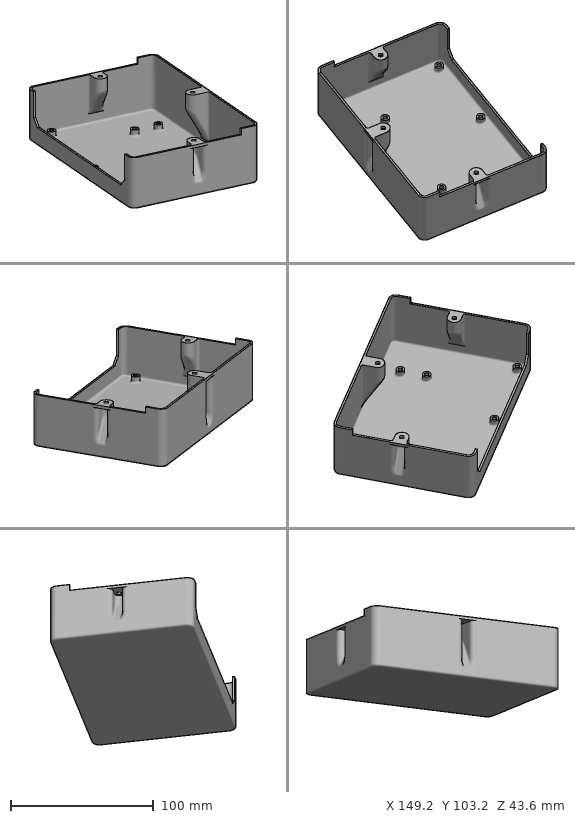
import cadquery as cq
import math

length = 149.2
width = 103.2
rear_height = 43.6
wall = 1.6
corner_radius = 5.4
bottom_fillet = 1.6
floor_fillet = 1.6
tolerance = 0.01

rim_drop = 4.7
rim_height = rear_height - rim_drop
rear_return = 14.7

opening_width = 130.2
opening_sill = 13.6
opening_chamfer = 5.7

boss_radius = 5.0
boss_fillet = 2 * wall
recess_radius = boss_radius - wall
recess_fillet = boss_fillet - wall
junction_fillet = wall
slope_angle = math.radians(60)
slope_shift = wall / math.cos(slope_angle)
slope_face = cq.selectors.ParallelDirSelector(
    cq.Vector(math.sin(slope_angle), 0, -math.cos(slope_angle))
)
boss_top_thickness = 2.2
screw_hole_diameter = 3.2
side_boss_depth = 7.7
side_boss_y = 3.05
side_boss_base = 6.4
rear_boss_depth = 11.8
rear_boss_base = 2.2

post_diameter = 6.0
post_hole_diameter = 2.85
post_mouth_diameter = 3.2
post_height = 5.0
post_fillet = 1.6
rear_post_x = 39.5
rear_post_rows = (34.5, 15.3)
front_post_y = -43.4
post_positions = [
    *[(side * rear_post_x, row) for row in rear_post_rows for side in (-1, 1)],
    (-65.4, -36.8),
    (6.9, front_post_y),
    (65.2, front_post_y),
]


def rounded_block(size_x, size_y, radius, bottom, top):
    block = cq.Workplane("XY", origin=(0, 0, bottom)).rect(size_x, size_y).extrude(top - bottom)
    return block.edges("|Z").fillet(radius)


def make_tray():
    outer = rounded_block(length, width, corner_radius, 0, rear_height)
    outer = outer.faces("<Z").edges().fillet(bottom_fillet)
    cavity = rounded_block(
        length - 2 * wall, width - 2 * wall, corner_radius - wall, wall, rear_height
    )
    cavity = cavity.faces("<Z").edges().fillet(floor_fillet)
    return outer.cut(cavity)


def rim_cut():
    """Material removed above the side and front rim."""
    cut_depth = width - rear_return
    block = cq.Workplane("XY").box(length, cut_depth, rim_drop, centered=(True, False, False))
    return block.translate((0, -width / 2, rim_height))


def front_opening():
    half = opening_width / 2
    profile = [
        (-half, rear_height),
        (-half, opening_sill + opening_chamfer),
        (-half + opening_chamfer, opening_sill),
        (half - opening_chamfer, opening_sill),
        (half, opening_sill + opening_chamfer),
        (half, rear_height),
    ]
    plane = cq.Workplane("XZ", origin=(0, -width / 2 + wall, 0))
    return plane.polyline(profile).close().extrude(wall)


def under_slope(half_width, start, tip, slope_base):
    """Wedge below the slope that rises from the outer wall face (x = 0) toward the boss tip."""
    rise = math.tan(slope_angle)
    return (
        cq.Workplane("XZ", origin=(0, half_width, 0))
        .moveTo(start, slope_base + start * rise)
        .lineTo(tip, slope_base + tip * rise)
        .lineTo(tip, 0)
        .lineTo(start, 0)
        .close()
        .extrude(2 * half_width)
    )


def boss_body(axis_depth, slope_base, top):
    """Round-nosed boss that flares into the wall's inner face, with a rounded sloped underside."""
    start = wall / 2
    tip = axis_depth + boss_radius
    root = boss_radius + junction_fillet
    arc_offset = junction_fillet * (1 - math.sqrt(0.5))
    flare_end = wall + junction_fillet
    flare_mid = (wall + arc_offset, boss_radius + arc_offset)
    body = (
        cq.Workplane("XY")
        .moveTo(start, -root)
        .lineTo(wall, -root)
        .threePointArc((flare_mid[0], -flare_mid[1]), (flare_end, -boss_radius))
        .lineTo(axis_depth, -boss_radius)
        .threePointArc((tip, 0), (axis_depth, boss_radius))
        .lineTo(flare_end, boss_radius)
        .threePointArc(flare_mid, (wall, root))
        .lineTo(start, root)
        .close()
        .extrude(top)
    )
    body = body.cut(under_slope(root, start, tip, slope_base))
    inside_wall = cq.selectors.BoxSelector(
        (0, -root - tolerance, 0), (wall + tolerance, root + tolerance, top), boundingbox=True
    )
    slope_edges = body.faces(slope_face).edges("not |Y")
    return slope_edges.edges(cq.selectors.InverseSelector(inside_wall)).fillet(boss_fillet)


def recess_body(axis_depth, slope_base, top):
    """Hollow of the boss, one wall thickness inside it and open at the outer wall face."""
    start = -wall
    tip = axis_depth + recess_radius
    body = (
        cq.Workplane("XY")
        .moveTo(start, -recess_radius)
        .lineTo(axis_depth, -recess_radius)
        .threePointArc((tip, 0), (axis_depth, recess_radius))
        .lineTo(start, recess_radius)
        .close()
        .extrude(top)
    )
    body = body.cut(under_slope(recess_radius, start, tip, slope_base))
    return body.faces(slope_face).edges("not |Y").fillet(recess_fillet)


def edges_on_wall_face(depth, half_width, top, bottom=0):
    """Selector for the edges that lie in the plane x = depth, between two heights."""
    return cq.selectors.BoxSelector(
        (depth - tolerance, -half_width - tolerance, bottom),
        (depth + tolerance, half_width + tolerance, top),
        boundingbox=True,
    )


def add_boss(tray, wall_point, turn, axis_depth, slope_base, top):
    """Add a hollow screw boss to the wall at wall_point.

    The tray is moved so that this wall's outer face is at x = 0 with +X inward, and moved
    back at the end. The turn about Z points the boss's inward direction along +X.
    """
    x, y = wall_point
    local = tray.translate((-x, -y, 0)).rotate((0, 0, 0), (0, 0, 1), turn)

    local = local.union(boss_body(axis_depth, slope_base, top))

    ceiling = top - boss_top_thickness
    recess_base = slope_base + slope_shift
    local = local.cut(recess_body(axis_depth, recess_base, ceiling))

    mouth = edges_on_wall_face(0, recess_radius, ceiling + tolerance)
    ceiling_edge = edges_on_wall_face(0, recess_radius, ceiling + tolerance, ceiling - tolerance)
    local = local.edges(mouth - ceiling_edge).fillet(boss_fillet)

    screw_hole = (
        cq.Workplane("XY", origin=(axis_depth, 0, ceiling))
        .circle(screw_hole_diameter / 2)
        .extrude(boss_top_thickness)
    )
    local = local.cut(screw_hole)
    return local.rotate((0, 0, 0), (0, 0, 1), -turn).translate((x, y, 0))


def post_drill():
    """Blind hole from the floor's surface to the post's top, with its lead-in."""
    lead_in = (post_mouth_diameter - post_hole_diameter) / 2
    hole = cq.Workplane("XY", origin=(0, 0, wall)).circle(post_hole_diameter / 2).extrude(post_height)
    mouth = (
        cq.Workplane("XY", origin=(0, 0, wall + post_height - lead_in))
        .circle(post_hole_diameter / 2)
        .workplane(offset=lead_in)
        .circle(post_mouth_diameter / 2)
        .loft()
    )
    return hole.union(mouth)


def add_post(tray, x, y):
    post = cq.Workplane("XY", origin=(x, y, wall)).circle(post_diameter / 2).extrude(post_height)
    base = cq.selectors.BoxSelector(
        (x - post_diameter, y - post_diameter, wall - tolerance),
        (x + post_diameter, y + post_diameter, wall + tolerance),
    )
    tray = tray.union(post).edges(base).edges("%CIRCLE").fillet(post_fillet)
    return tray.cut(post_drill().translate((x, y, 0)))


result = make_tray().cut(rim_cut()).cut(front_opening())
for side, turn in ((-1, 0), (1, 180)):
    wall_point = (side * length / 2, side_boss_y)
    result = add_boss(result, wall_point, turn, side_boss_depth, side_boss_base, rim_height)
result = add_boss(result, (0, width / 2), 90, rear_boss_depth, rear_boss_base, rear_height)
for post_x, post_y in post_positions:
    result = add_post(result, post_x, post_y)